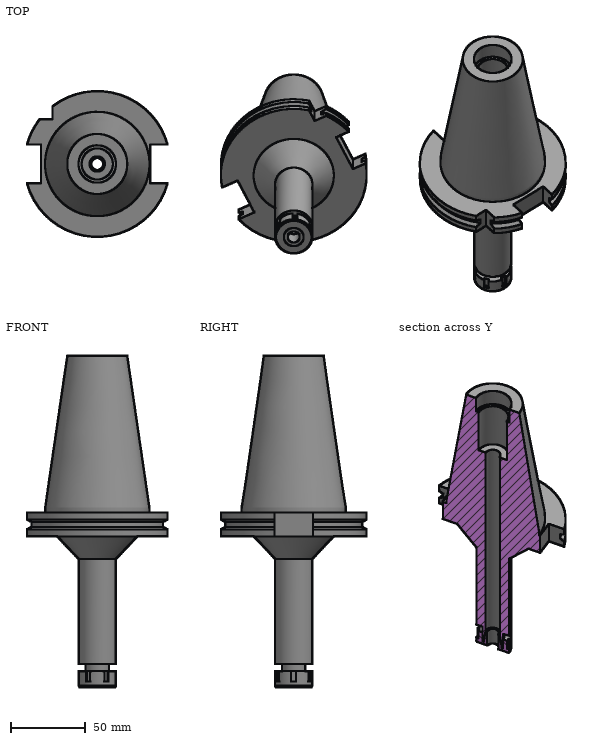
import cadquery as cq
import math


overall_length = 221.8

gauge_radius = 69.9 / 2
taper_length = 101.8
taper_slope = 7 / 48
taper_end_radius = gauge_radius - taper_length * taper_slope

flange_radius = 97.5 / 2
flange_top = -3.0
flange_bottom = -19.0
flange_height = flange_top - flange_bottom
groove_floor_radius = 46.0
groove_half_angle = math.radians(30)
groove_floor_half_width = 3.3 / 2
groove_mouth_half_width = groove_floor_half_width + (
    flange_radius - groove_floor_radius) * math.tan(groove_half_angle)
groove_center_z = (flange_top + flange_bottom) / 2

slot_width = 25.7
left_slot_floor = 37.7
right_slot_floor = 35.5
notch_offset = 30.0

cone_radius = 26.8
stem_radius = 25.0 / 2
cone_end = -34.1
stem_end = -104.5
nose_radius = 15.7 / 2
nose_end = -117.5

counterbore_radius = stem_radius
counterbore_depth = 12.0
thread_bore_radius = 10.5
thread_bore_depth = 46.5
through_bore_radius = 5.0

nut_radius = stem_radius
nut_top = -109.0
nut_bottom = taper_length - overall_length
nut_chamfer_width = 0.7
nut_chamfer_height = 1.0
wrench_slot_count = 6
wrench_slot_width = 3.3
wrench_slot_length = 7.0
wrench_slot_depth = 1.5

collet_head_radius = 6.7
collet_half_angle = math.radians(8)
collet_bore_radius = 4.0
collet_top = nose_end + (collet_head_radius - through_bore_radius) / math.tan(collet_half_angle)


def cylinder(radius, bottom, top):
    """Cylinder on the Z axis between two heights."""
    return cq.Workplane("XY").workplane(offset=bottom).circle(radius).extrude(top - bottom)


def revolve_profile(points):
    """Solid of revolution about Z from (radius, z) points."""
    return cq.Workplane("XZ").polyline(points).close().revolve(360, (0, 0, 0), (0, 1, 0))


def flange_cutter(x_min, x_max, y_min, y_max):
    """Block that cuts through the full height of the flange."""
    return (
        cq.Workplane("XY").workplane(offset=flange_bottom)
        .moveTo((x_min + x_max) / 2, (y_min + y_max) / 2)
        .rect(x_max - x_min, y_max - y_min)
        .extrude(flange_height)
    )


def make_collet_blank():
    """Collet without its bore: straight head below, cone above."""
    return revolve_profile([
        (0, nut_bottom),
        (collet_head_radius, nut_bottom),
        (collet_head_radius, nose_end),
        (through_bore_radius, collet_top),
        (0, collet_top),
    ])


def make_holder():
    """Taper shank, grooved flange, cone, stem and nose in one piece."""
    body = revolve_profile([
        (0, taper_length),
        (taper_end_radius, taper_length),
        (gauge_radius, 0),
        (gauge_radius, flange_top),
        (flange_radius, flange_top),
        (flange_radius, groove_center_z + groove_mouth_half_width),
        (groove_floor_radius, groove_center_z + groove_floor_half_width),
        (groove_floor_radius, groove_center_z - groove_floor_half_width),
        (flange_radius, groove_center_z - groove_mouth_half_width),
        (flange_radius, flange_bottom),
        (cone_radius, flange_bottom),
        (stem_radius, cone_end),
        (stem_radius, stem_end),
        (nose_radius, stem_end),
        (nose_radius, nose_end),
        (0, nose_end),
    ])

    half_slot = slot_width / 2
    body = body.cut(flange_cutter(-flange_radius, -left_slot_floor, -half_slot, half_slot))
    body = body.cut(flange_cutter(right_slot_floor, flange_radius, -half_slot, half_slot))
    body = body.cut(flange_cutter(-flange_radius, -notch_offset, notch_offset, flange_radius))

    body = body.cut(cylinder(counterbore_radius, taper_length - counterbore_depth, taper_length))
    body = body.cut(cylinder(thread_bore_radius, taper_length - thread_bore_depth, taper_length))
    body = body.cut(cylinder(through_bore_radius, nose_end, taper_length))
    return body.cut(make_collet_blank())


def make_nut():
    """Clamping nut around the nose, with wrench slots open at its top."""
    nut = revolve_profile([
        (0, nut_top),
        (nut_radius, nut_top),
        (nut_radius, nut_bottom + nut_chamfer_height),
        (nut_radius - nut_chamfer_width, nut_bottom),
        (0, nut_bottom),
    ])
    nut = nut.cut(cylinder(nose_radius, nose_end, nut_top))
    nut = nut.cut(cylinder(collet_head_radius, nut_bottom, nose_end))

    slot = (
        cq.Workplane("XY").workplane(offset=nut_top - wrench_slot_length)
        .moveTo(nut_radius, 0)
        .rect(2 * wrench_slot_depth, wrench_slot_width)
        .extrude(wrench_slot_length)
    )
    for index in range(wrench_slot_count):
        angle = index * 360 / wrench_slot_count
        nut = nut.cut(slot.rotate((0, 0, 0), (0, 0, 1), angle))
    return nut


def make_collet():
    """Collet seated in the nose, with a straight tool bore."""
    return make_collet_blank().cut(cylinder(collet_bore_radius, nut_bottom, collet_top))


holder = make_holder()
nut = make_nut()
collet = make_collet()

result = cq.Compound.makeCompound([holder.val(), nut.val(), collet.val()])